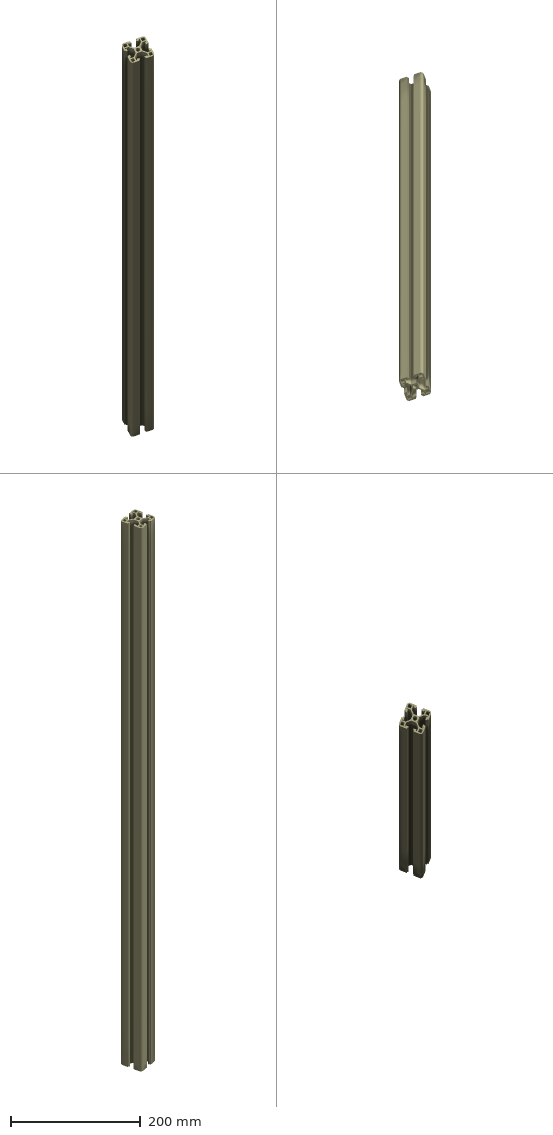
import cadquery as cq

SIDE = 40.0
LENGTH = 1000.0
CORNER_RADIUS = 4.5

SLOT_OPENING = 8.3
LEAD_IN_WIDTH = 11.0
LEAD_IN_DEPTH = 2.0
LIP_THICKNESS = 4.6
LIP_RIB_OUTER_WIDTH = 17.7
THIN_WALL = 2.5
CAVITY_WIDTH = 20.3
SLOT_DEPTH = 14.4
WEB_THICKNESS = 2.0

BORE_DIAMETER = 6.8
CORNER_HOLLOW_SIZE = 5.5
CORNER_HOLLOW_OFFSET = 15.0

HALF_SIDE = SIDE / 2
CORE_HALF_WIDTH = HALF_SIDE - SLOT_DEPTH
WEB_FACE_OFFSET = WEB_THICKNESS / 2 ** 0.5
SLOT_ANGLES = (0, 90, 180, 270)


def make_bar():
    bar = cq.Workplane("XY").rect(SIDE, SIDE).extrude(LENGTH)
    return bar.edges("|Z").fillet(CORNER_RADIUS)


def make_slot():
    """Void of the T-slot in the +Y side: lead-in, opening, ribbed lips, cavity and 45-degree webs."""
    half_opening = SLOT_OPENING / 2
    half_lead_in = LEAD_IN_WIDTH / 2
    half_ribs = LIP_RIB_OUTER_WIDTH / 2
    half_cavity = CAVITY_WIDTH / 2
    lead_in_floor = HALF_SIDE - LEAD_IN_DEPTH
    rib_underside = HALF_SIDE - LIP_THICKNESS
    cavity_roof = HALF_SIDE - THIN_WALL
    right_half = [
        (half_lead_in, HALF_SIDE),
        (half_lead_in, lead_in_floor),
        (half_opening, lead_in_floor),
        (half_opening, rib_underside),
        (half_ribs, rib_underside),
        (half_ribs, cavity_roof),
        (half_cavity, cavity_roof),
        (half_cavity, half_cavity + WEB_FACE_OFFSET),
        (CORE_HALF_WIDTH - WEB_FACE_OFFSET, CORE_HALF_WIDTH),
    ]
    left_half = [(-x, y) for x, y in reversed(right_half)]
    return cq.Workplane("XY").polyline(right_half + left_half).close().extrude(LENGTH)


def make_bore():
    return cq.Workplane("XY").circle(BORE_DIAMETER / 2).extrude(LENGTH)


def make_corner_hollows():
    """Square channels in the four corners."""
    spacing = 2 * CORNER_HOLLOW_OFFSET
    centers = cq.Workplane("XY").rect(spacing, spacing, forConstruction=True).vertices()
    return centers.rect(CORNER_HOLLOW_SIZE, CORNER_HOLLOW_SIZE).extrude(LENGTH)


def make_profile():
    profile = make_bar()
    slot = make_slot()
    for angle in SLOT_ANGLES:
        profile = profile.cut(slot.rotate((0, 0, 0), (0, 0, 1), angle))
    return profile.cut(make_bore()).cut(make_corner_hollows())


result = make_profile()